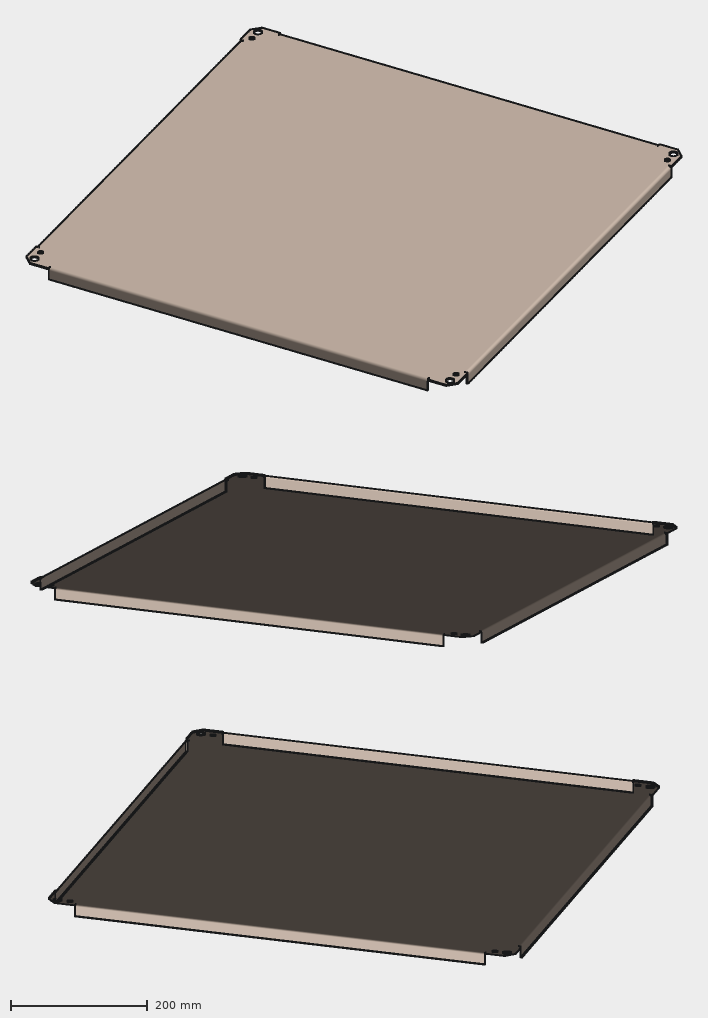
import cadquery as cq
import math

panel_size = 716.28
panel_height = 19.66
sheet_thickness = 2.36

inner_bend_radius = sheet_thickness
outer_bend_radius = inner_bend_radius + sheet_thickness

side_count = 4
flange_setback = 43.6
slit_width = 0.1
tab_length = flange_setback - slit_width
corner_chamfer = 12.7

mounting_hole_diameter = 12.7
mounting_hole_inset = 13.2
pilot_hole_diameter = 7.94
pilot_hole_inset_x = mounting_hole_inset
pilot_hole_inset_y = 32.0

half_size = panel_size / 2
flange_length = panel_size - 2 * flange_setback
sheet_bottom_z = panel_height - sheet_thickness


def around_sides(side_feature):
    """Copies of a +X side feature turned onto every side of the panel."""
    turn_angle = 360 / side_count
    return [side_feature.rotate((0, 0, 0), (0, 0, 1), turn_angle * side) for side in range(side_count)]


def flat_sheet():
    """Horizontal sheet with chamfered corner tabs, cut back along each side for the flange bend."""
    sheet = (
        cq.Workplane("XY", origin=(0, 0, sheet_bottom_z))
        .rect(panel_size, panel_size)
        .extrude(sheet_thickness)
        .edges("|Z")
        .chamfer(corner_chamfer)
    )
    bend_clearance = (
        cq.Workplane("XY", origin=(half_size - outer_bend_radius / 2, 0, sheet_bottom_z))
        .rect(outer_bend_radius, panel_size - 2 * tab_length)
        .extrude(sheet_thickness)
    )
    for cutter in around_sides(bend_clearance):
        sheet = sheet.cut(cutter)
    return sheet


def bent_flange():
    """Quarter-round bend and downturned flange along the +X side."""
    bend_x = half_size - outer_bend_radius
    bend_z = panel_height - outer_bend_radius
    flange_inner_x = half_size - sheet_thickness

    def bend_midpoint(radius):
        offset = radius * math.sqrt(0.5)
        return (bend_x + offset, bend_z + offset)

    return (
        cq.Workplane("XZ")
        .moveTo(bend_x, panel_height)
        .threePointArc(bend_midpoint(outer_bend_radius), (half_size, bend_z))
        .lineTo(half_size, 0)
        .lineTo(flange_inner_x, 0)
        .lineTo(flange_inner_x, bend_z)
        .threePointArc(bend_midpoint(inner_bend_radius), (bend_x, sheet_bottom_z))
        .close()
        .extrude(flange_length / 2, both=True)
    )


def corner_holes(diameter, inset_x, inset_y):
    """Cutters for one through hole in each of the four corners."""
    return (
        cq.Workplane("XY")
        .rect(panel_size - 2 * inset_x, panel_size - 2 * inset_y, forConstruction=True)
        .vertices()
        .circle(diameter / 2)
        .extrude(panel_height)
    )


result = flat_sheet()
for flange in around_sides(bent_flange()):
    result = result.union(flange)

result = result.cut(corner_holes(mounting_hole_diameter, mounting_hole_inset, mounting_hole_inset))
result = result.cut(corner_holes(pilot_hole_diameter, pilot_hole_inset_x, pilot_hole_inset_y))